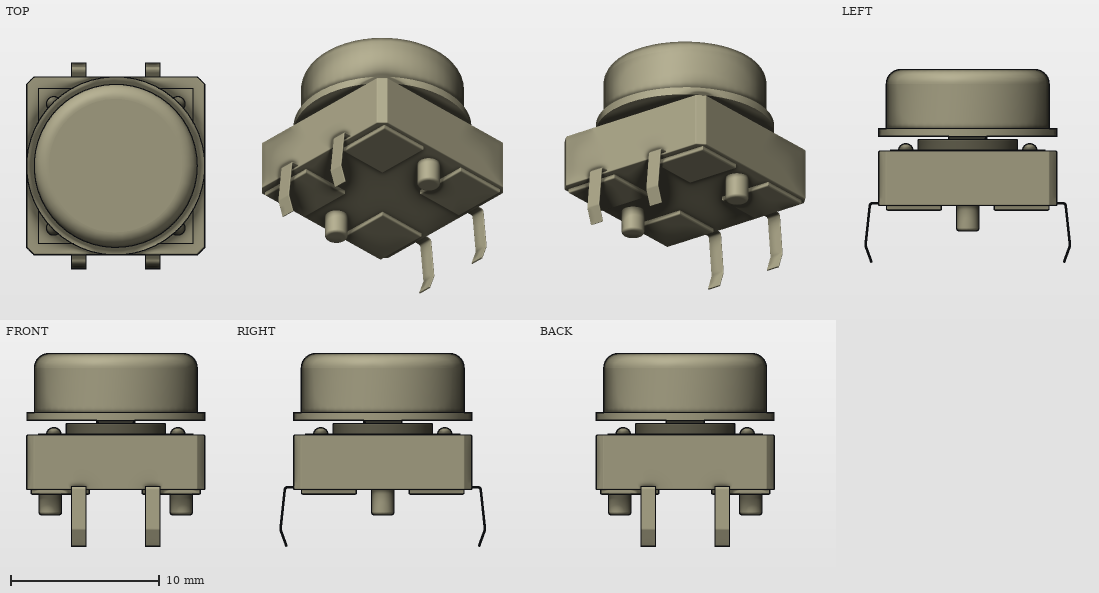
import cadquery as cq

housing_side = 12.0
housing_height = 3.69
corner_chamfer = 0.5
edge_fillet = 0.1
bottom_edge_fillet = 0.07

rivet_radius = 0.5
rivet_offset = 4.17

pad_inner = 1.78
pad_outer_x = 5.7
pad_outer_y = 5.48
pad_depth = 0.3
peg_radius = 0.76
peg_offset = 4.41
peg_length = 1.7
peg_fillet = 0.2

plate_side = 10.43
plate_thickness = 0.07
boss_radius = 3.35
boss_top = 4.47
stem_side = 2.57
stem_corner_chamfer = 0.1
stem_top = 4.58

cap_bottom = 4.67
cap_height = 4.51
cap_radius = 5.49
cap_fillet = 1.0
flange_radius = housing_side / 2
flange_thickness = 0.53

lead_width = 1.0
lead_thickness = 0.1
lead_offset = 2.5
lead_top = 0.22
lead_shoulder = 6.63
lead_span = 13.87
lead_knee_rounding = 0.004
lead_knee_z = -2.68
lead_tip = 6.53
lead_tip_z = -3.8
lead_bend_radius = 0.2
lead_edge_fillet = 0.04


def make_rivets():
    """Four ball heads centred on the housing top face."""
    return (
        cq.Workplane("XY", origin=(0, 0, housing_height))
        .rect(2 * rivet_offset, 2 * rivet_offset, forConstruction=True)
        .vertices()
        .sphere(rivet_radius)
    )


def make_pads():
    """Four rectangular pads under the housing, with a rounded lower rim."""
    size_x = pad_outer_x - pad_inner
    size_y = pad_outer_y - pad_inner
    return (
        cq.Workplane("XY")
        .rect(pad_outer_x + pad_inner, pad_outer_y + pad_inner, forConstruction=True)
        .vertices()
        .rect(size_x, size_y)
        .extrude(-pad_depth)
        .faces("<Z")
        .edges()
        .fillet(edge_fillet)
    )


def make_pegs():
    """Two round locating pegs with a rounded lower rim."""
    return (
        cq.Workplane("XY")
        .pushPoints([(-peg_offset, 0), (peg_offset, 0)])
        .circle(peg_radius)
        .extrude(-peg_length)
        .faces("<Z")
        .edges()
        .fillet(peg_fillet)
    )


def make_housing():
    """Box with chamfered corners, carrying the rivet heads, pads and pegs."""
    box = (
        cq.Workplane("XY")
        .rect(housing_side, housing_side)
        .extrude(housing_height)
        .edges("|Z")
        .chamfer(corner_chamfer)
        .edges("|Z")
        .fillet(edge_fillet)
        .faces(">Z")
        .edges()
        .fillet(edge_fillet)
        .faces("<Z")
        .edges()
        .fillet(bottom_edge_fillet)
    )
    return box.union(make_rivets()).union(make_pads()).union(make_pegs())


def make_cover_plate():
    """Thin square plate on the housing top, pierced by the rivet heads."""
    plate = (
        cq.Workplane("XY", origin=(0, 0, housing_height))
        .rect(plate_side, plate_side)
        .extrude(plate_thickness)
    )
    return plate.cut(make_rivets())


def make_boss():
    """Round boss on the cover plate, with a rounded upper rim."""
    plate_top = housing_height + plate_thickness
    return (
        cq.Workplane("XY", origin=(0, 0, plate_top))
        .circle(boss_radius)
        .extrude(boss_top - plate_top)
        .faces(">Z")
        .edges()
        .fillet(edge_fillet)
    )


def make_square_post(bottom, top):
    """Square post between two heights, its two -Y corners chamfered."""
    return (
        cq.Workplane("XY", origin=(0, 0, bottom))
        .rect(stem_side, stem_side)
        .extrude(top - bottom)
        .edges("|Z and <Y")
        .chamfer(stem_corner_chamfer)
    )


def make_stem():
    """Square stem on the boss, with a rounded upper rim."""
    return make_square_post(boss_top, stem_top).faces(">Z").edges().fillet(edge_fillet)


def make_cap():
    """Round cap with a rounded top rim, a flange and a square foot on the stem."""
    cap = (
        cq.Workplane("XY", origin=(0, 0, cap_bottom))
        .circle(cap_radius)
        .extrude(cap_height)
        .faces(">Z")
        .edges()
        .fillet(cap_fillet)
        .faces("<Z")
        .workplane()
        .circle(flange_radius)
        .extrude(-flange_thickness)
    )
    return cap.union(make_square_post(stem_top, cap_bottom))


def make_lead():
    """One lead at X = 0 on the +Y wall: out, down and back in at the tip, long edges rounded."""
    half = lead_thickness / 2
    centre_line = cq.Wire.makePolygon(
        [
            cq.Vector(0, housing_side / 2, lead_top - half),
            cq.Vector(0, lead_shoulder - half, lead_top - half),
            cq.Vector(0, lead_span / 2 + lead_knee_rounding - half, lead_knee_z),
            cq.Vector(0, lead_tip - half, lead_tip_z),
        ]
    ).fillet(lead_bend_radius)
    section = cq.Sketch().rect(lead_width, lead_thickness).vertices().fillet(lead_edge_fillet)
    return (
        cq.Workplane("XZ", origin=(0, housing_side / 2, lead_top - half))
        .placeSketch(section)
        .sweep(cq.Workplane(centre_line))
    )


housing = make_housing()
cover_plate = make_cover_plate()
boss = make_boss()
stem = make_stem()
cap = make_cap()

leads = []
for x in (-lead_offset, lead_offset):
    lead = make_lead().translate((x, 0, 0))
    leads.append(lead.val())
    leads.append(lead.mirror("XZ").val())

result = cq.Compound.makeCompound(
    [housing.val(), cover_plate.val(), boss.val(), stem.val(), cap.val(), *leads]
)